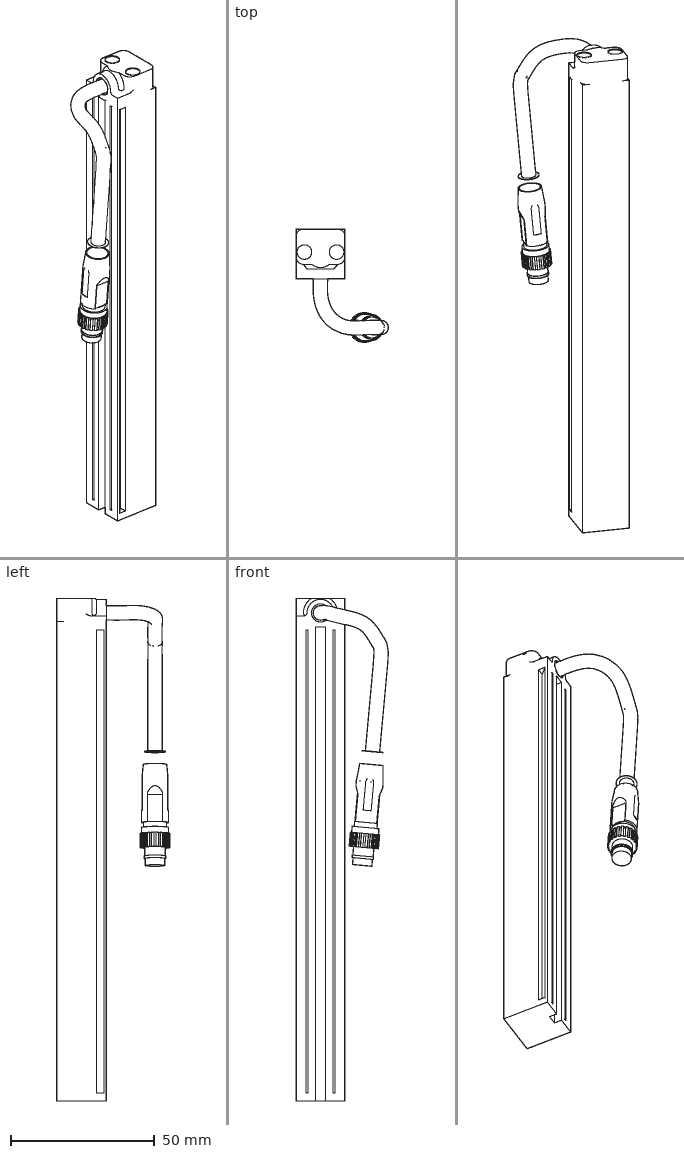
import cadquery as cq
import math

housing_width = 17.0
housing_depth = 17.3
housing_height = 174.8
side_x = housing_width / 2
front_y = -housing_depth / 2
back_y = housing_depth / 2

back_corner_radius = 2.5
back_corner_drop = 8.0
front_ledge_drop = 6.1
front_ledge_depth = 5.0
front_corner_radius = 2.6
ledge_wall_y = front_y + front_ledge_depth
ledge_z = housing_height - front_ledge_drop

screw_diameter = 5.0
screw_offset_x = 5.6
screw_y = 0.7
screw_recess_depth = 0.3

groove_bottom_z = 2.8
groove_top_z = 163.8
thin_groove_width = 0.7
thin_groove_offset = 4.7
thin_groove_depth = 1.7
centre_slot_width = 3.5
centre_slot_depth = 2.8
centre_slot_top_z = 164.8
side_groove_depth = 2.6
side_groove_setback = 3.5
side_groove_rear_y = front_y + side_groove_setback

cable_diameter = 5.0
cable_z = 169.7
gland_diameter = 9.5
gland_length = 3.5
gland_flare_diameter = 11.9
cable_recess_diameter = 6.3
cable_recess_depth = 0.5

ledge_root_radius = cable_z - ledge_z

cable_tilt = 5.2
tail_x = 20.8
tail_y = -25.5
tail_top_z = 151.5
tail_length = 30.0
lead_bends = [
    (0, -14.0, cable_z),
    (2.1, -20.6, cable_z),
    (8.0, -25.2, 168.3),
    (16.0, tail_y, 165.2),
    (20.0, tail_y, 159.8),
]
cable_end_diameter = 7.3
cable_end_thickness = 0.2

connector_start = 34.6
taper_start_diameter = 8.2
taper_length = 6.1
bore_diameter = 7.3
bore_depth = taper_length
body_diameter = 9.5
body_end = 20.3
neck_diameter = 8.0
nut_start = 22.0
knurl_start = 24.1
knurl_end = 29.0
knurl_diameter = 10.3
tooth_count = 20
tooth_gap_width = 0.7
tooth_gap_depth = 0.3
plug_diameter = 7.2
plug_tip_diameter = 6.8
ring_diameter = 7.5
ring_start = 32.0
ring_end = 32.9
connector_length = 35.3

grip_width = 5.2
grip_floor = 3.7
grip_ramp_start = 7.9
grip_ramp_end = 10.8
pad_width = 3.0
pad_depth = 0.21
pad_distance = body_diameter / 2 - pad_depth
pad_start = 3.5
pad_end = 16.0


def along_tail(distance):
    """Frame on the tail axis, `distance` below the top of the tail, with Z pointing down the axis."""
    lean = math.radians(cable_tilt)
    direction = cq.Vector(-math.sin(lean), 0, -math.cos(lean))
    origin = cq.Vector(tail_x, tail_y, tail_top_z) + direction * distance
    return cq.Plane(origin=origin, xDir=(0, -1, 0), normal=direction)


def block(x_size, y_min, y_max, z_min, z_max):
    """Box centred on X between the given Y and Z limits."""
    return (
        cq.Workplane("XY", origin=(0, (y_min + y_max) / 2, z_min))
        .rect(x_size, y_max - y_min)
        .extrude(z_max - z_min)
    )


def front_ledge_cutter():
    """Volume removed above the ledge: it wraps the rounded head corners and leaves a fillet at the floor."""
    corner_end_y = ledge_wall_y + front_corner_radius
    corner_start_x = side_x - front_corner_radius
    arc_reach = front_corner_radius * math.sqrt(0.5)
    arc_middle = (corner_start_x + arc_reach, corner_end_y - arc_reach)
    cutter = (
        cq.Workplane("XY", origin=(0, 0, ledge_z))
        .moveTo(-housing_width, corner_end_y)
        .lineTo(-side_x, corner_end_y)
        .threePointArc((-arc_middle[0], arc_middle[1]), (-corner_start_x, ledge_wall_y))
        .lineTo(corner_start_x, ledge_wall_y)
        .threePointArc(arc_middle, (side_x, corner_end_y))
        .lineTo(housing_width, corner_end_y)
        .lineTo(housing_width, -housing_depth)
        .lineTo(-housing_width, -housing_depth)
        .close()
        .extrude(2 * front_ledge_drop)
    )
    margin = front_corner_radius / 10
    ledge_root = cq.selectors.BoxSelector(
        (-side_x, ledge_wall_y - front_corner_radius, ledge_z - margin),
        (side_x, corner_end_y - margin, ledge_z + margin),
    )
    return cutter.edges(ledge_root).fillet(ledge_root_radius)


def rail():
    """Square bar whose top end has rounded back corners and a front ledge."""
    corner_z = housing_height - back_corner_drop
    base = block(housing_width, front_y, back_y, 0, corner_z)
    head = block(housing_width, front_y, back_y, corner_z, housing_height)
    head = head.edges("|Z and >Y").fillet(back_corner_radius)
    return base.union(head).cut(front_ledge_cutter())


def gland():
    """Round boss carrying the cable, filleted to the ledge and flaring out where it meets the head."""
    radius = gland_diameter / 2
    root_drop = ledge_root_radius * math.sqrt(0.5)
    flare_length = front_ledge_depth - gland_length
    root_x = radius + ledge_root_radius
    root_middle = (root_x - root_drop, -root_drop)
    wall = cq.Workplane("XZ", origin=(0, front_y, cable_z))
    boss = (
        wall.moveTo(-root_x, -ledge_root_radius)
        .threePointArc((-root_middle[0], root_middle[1]), (-radius, 0))
        .threePointArc((0, radius), (radius, 0))
        .threePointArc(root_middle, (root_x, -ledge_root_radius))
        .close()
        .extrude(-front_ledge_depth)
    )
    flare = (
        wall.workplane(offset=-gland_length)
        .circle(radius)
        .workplane(offset=-flare_length)
        .circle(gland_flare_diameter / 2)
        .loft()
    )
    return boss.union(flare).intersect(block(housing_width, front_y, back_y, 0, housing_height))


def cut_grooves(body):
    """Front slots and the V grooves along both front edges of the rail."""
    body = body.cut(block(centre_slot_width, front_y, front_y + centre_slot_depth, 0, centre_slot_top_z))
    thin = block(thin_groove_width, front_y, front_y + thin_groove_depth, groove_bottom_z, groove_top_z)
    for side in (-1, 1):
        body = body.cut(thin.translate((side * thin_groove_offset, 0, 0)))
        side_groove = (
            cq.Workplane("XY", origin=(0, 0, groove_bottom_z))
            .moveTo(side * side_x, side_groove_rear_y)
            .lineTo(side * (side_x - side_groove_depth), side_groove_rear_y)
            .lineTo(side * side_x, side_groove_rear_y - side_groove_depth)
            .close()
            .extrude(groove_top_z - groove_bottom_z)
        )
        body = body.cut(side_groove)
    return body


def cut_screw_recesses(body):
    """Shallow round recesses in the top face."""
    recesses = (
        cq.Workplane("XY", origin=(0, screw_y, housing_height))
        .pushPoints([(-screw_offset_x, 0), (screw_offset_x, 0)])
        .circle(screw_diameter / 2)
        .extrude(-screw_recess_depth)
    )
    return body.cut(recesses)


def cut_cable_recess(body):
    """Shallow ring around the cable where it leaves the gland."""
    recess = (
        cq.Workplane("XZ", origin=(0, front_y, cable_z))
        .circle(cable_recess_diameter / 2)
        .extrude(-cable_recess_depth)
    )
    return body.cut(recess)


def cable():
    """Lead curving out of the gland and down, then the straight tail with its flat end disc."""
    tail_frame = along_tail(0)
    lead_start = cq.Vector(0, front_y + cable_recess_depth, cable_z)
    lead_path = cq.Workplane("XY").spline(
        [
            lead_start,
            *[cq.Vector(point) for point in lead_bends],
            tail_frame.origin,
        ],
        tangents=[cq.Vector(0, -1, 0), tail_frame.zDir],
    )
    lead = cq.Workplane("XZ", origin=lead_start.toTuple()).circle(cable_diameter / 2).sweep(lead_path)
    tail = cq.Workplane(tail_frame).circle(cable_diameter / 2).extrude(tail_length)
    end_disc = (
        cq.Workplane(along_tail(tail_length)).circle(cable_end_diameter / 2).extrude(cable_end_thickness)
    )
    return lead.union(tail).union(end_disc)


def housing_with_cable():
    """Housing and cable as one solid."""
    body = rail().union(gland())
    body = cut_grooves(body)
    body = cut_screw_recesses(body)
    body = cut_cable_recess(body)
    return body.union(cable()).solids()


def connector_blank():
    """Turned outline, revolved about local Y and then stood upright so that its axis is local Z."""
    return (
        cq.Workplane("XY")
        .moveTo(0, bore_depth)
        .lineTo(bore_diameter / 2, bore_depth)
        .lineTo(bore_diameter / 2, 0)
        .lineTo(taper_start_diameter / 2, 0)
        .lineTo(body_diameter / 2, taper_length)
        .lineTo(body_diameter / 2, body_end)
        .lineTo(neck_diameter / 2, body_end)
        .lineTo(neck_diameter / 2, nut_start)
        .lineTo(body_diameter / 2, nut_start)
        .lineTo(body_diameter / 2, knurl_start)
        .lineTo(knurl_diameter / 2, knurl_start)
        .lineTo(knurl_diameter / 2, knurl_end)
        .lineTo(plug_diameter / 2, knurl_end)
        .lineTo(plug_diameter / 2, ring_start)
        .lineTo(ring_diameter / 2, ring_start)
        .lineTo(ring_diameter / 2, ring_end)
        .lineTo(plug_tip_diameter / 2, ring_end)
        .lineTo(plug_tip_diameter / 2, connector_length)
        .lineTo(0, connector_length)
        .close()
        .revolve(360, (0, 0, 0), (0, 1, 0))
        .rotate((0, 0, 0), (1, 0, 0), 90)
    )


def cut_knurl(body):
    """Straight gaps between the teeth of the coupling nut."""
    gap = (
        cq.Workplane("XY", origin=(knurl_diameter / 2, 0, knurl_start))
        .rect(2 * tooth_gap_depth, tooth_gap_width)
        .extrude(knurl_end - knurl_start)
    )
    for tooth in range(tooth_count):
        body = body.cut(gap.rotate((0, 0, 0), (0, 0, 1), tooth * 360 / tooth_count))
    return body


def cut_grips(body):
    """Ramped grip pockets on the two sides and flat pads on the front and back."""
    outside = body_diameter
    ramp_rise = body_diameter / 2 - grip_floor
    ramp_slope = (grip_ramp_end - grip_ramp_start) / ramp_rise
    outer_ramp_start = grip_ramp_end - ramp_slope * (outside - grip_floor)
    pocket = (
        cq.Workplane("XZ")
        .moveTo(grip_floor, body_end)
        .lineTo(grip_floor, grip_ramp_end)
        .lineTo(outside, outer_ramp_start)
        .lineTo(outside, body_end)
        .close()
        .extrude(grip_width / 2, both=True)
    )
    pad = (
        cq.Workplane("XY")
        .box(outside, pad_width, pad_end - pad_start, centered=(False, True, False))
        .translate((pad_distance, 0, pad_start))
    )
    for turn in (0, 180):
        body = body.cut(pad.rotate((0, 0, 0), (0, 0, 1), turn))
        body = body.cut(pocket.rotate((0, 0, 0), (0, 0, 1), turn + 90))
    return body


def connector():
    """Finished connector placed on the tail axis, a gap below the cable end."""
    body = cut_grips(cut_knurl(connector_blank()))
    placed = body.solids().val().moved(cq.Location(along_tail(connector_start)))
    return cq.Workplane(placed)


housing = housing_with_cable()
plug = connector()

result = cq.Compound.makeCompound([housing.val(), plug.val()])